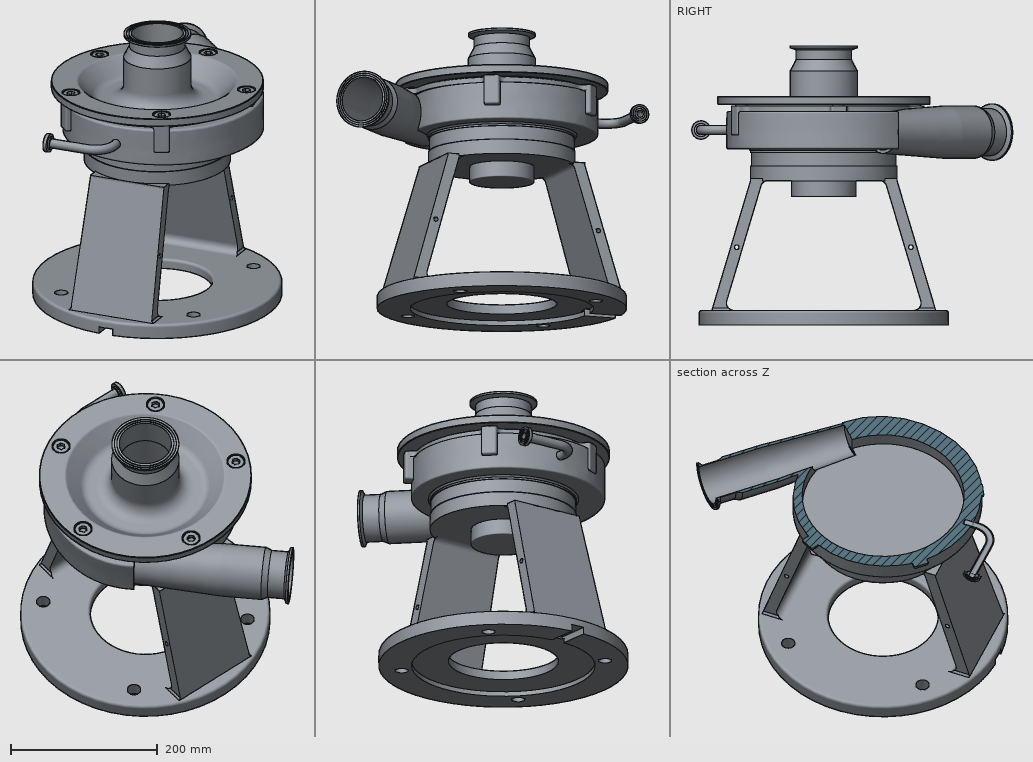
import cadquery as cq
import math

base_radius = 170.0
base_thickness = 20.0
base_edge_fillet = 4.0
base_bore_radius = 75.0
base_hole_circle_radius = 140.0
base_hole_diameter = 18.0
base_hole_count = 4
first_base_hole_angle = 45.0
notch_width = 20.0
notch_height = 9.5
notch_depth = 50.0
base_recess_radius = 125.0
base_recess_depth = 6.5

shaft_housing_bottom = 175.0
adapter_bottom = 196.5
adapter_top = 216.5
hub_top = 235.0
casing_bottom = 240.0
casing_top = 291.0
ring_top = 298.5
lid_bottom = 300.5
lid_top = 311.5
overall_height = 380.5

leg_top_half_width = 55.0
leg_bottom_half_width = 60.3
leg_top_outer_y = 100.0
leg_bottom_outer_y = 152.6
leg_thickness_y = 16.7
leg_top_fillet = 9.0
leg_bottom_fillet = 10.0
leg_foot_height = 3.0
leg_foot_half_width = 63.0
leg_pad_height = 2.8
leg_hole_height = 106.0
leg_hole_diameter = 6.0

shaft_housing_radius = 44.0
shaft_housing_fillet = 1.0
adapter_radius = 100.0
hub_radius = 98.7
hub_collar_radius = 102.5

volute_start_angle = 45.0
volute_knot_step = 45.0
volute_knot_radii = [118.5, 122.0, 125.0, 127.5, 130.0, 132.2, 137.5, 141.5, 144.0]
casing_top_fillet = 3.0
casing_bottom_fillet = 2.0
ring_radius = 122.5
spigot_radius = 118.3
chamber_radius = 110.0
chamber_bottom = 245.0
chamber_top = 281.0

lid_radius = 144.6
lid_edge_chamfer = 0.8
dish_floor = 286.0
dish_rim_radius = 108.5
dish_rim_fillet = 5.0
dish_floor_fillet = 15.0
spout_fillet = 20.0
screw_circle_radius = 126.0
screw_count = 5
hexagon_sides = 6
first_screw_angle = 9.0
counterbore_radius = 12.3
counterbore_depth = 3.0
screw_head_radius = 11.0
screw_head_recess = 1.0
screw_socket_width = 10.0
screw_socket_depth = 5.0
screw_socket_point = 3.0
boss_outer_radius = 137.0
boss_inner_radius = 110.0
boss_width = 21.5
boss_bottom = 258.6
boss_fillet = 3.0
boss_bottom_fillet = 2.5
boss_root_fillet = 9.0
boss_root_tolerance = 0.01
spacer_radius = 8.0

spout_radius = 46.0
spout_cone_bottom = 346.0
spout_cone_top = 361.5
inlet_tube_radius = 38.0
inlet_flange_radius = 45.7
inlet_flange_edge = 2.8
inlet_flange_height = 5.7
inlet_bore_radius = 35.5
inlet_bore_bottom = 343.0
inlet_chamber_radius = 43.0
groove_depth = 1.2
groove_width_ratio = 1 / 3

outlet_angle = 135.0
outlet_offset = 113.8
outlet_height = 262.8
outlet_reach = 212.0
outlet_flange_radius = 38.5
outlet_flange_edge = 2.8
outlet_flange_height = 5.9
outlet_tube_radius = 32.3
outlet_tube_end = 183.5
outlet_pipe_radius = 35.8
outlet_pipe_start = 175.0
outlet_pipe_end = 118.5
outlet_throat_radius = 29.0
outlet_bore_radius = 30.2
outlet_bore_throat_radius = 24.5

flush_height = 265.7
flush_center_y = -167.3
flush_face_x = -89.8
flush_flange_radius = 12.7
flush_flange_edge = 5.0
flush_neck_length = 7.4
flush_neck_radius = 9.0
flush_tube_radius = 6.35
flush_bend_x = -29.0
flush_bend_radius = 27.3
flush_bore_radius = 4.7
flush_end_y = -120.0

FULL_TURN = 360.0


def cylinder(radius, bottom, top):
    return cq.Workplane("XY").workplane(offset=bottom).circle(radius).extrude(top - bottom)


def revolved(points):
    """Solid of revolution about Z from a closed outline of (radius, height) points."""
    return cq.Workplane("XZ").polyline(points).close().revolve(FULL_TURN, (0, 0, 0), (0, 1, 0))


def polar(radius, angle):
    return (radius * math.cos(math.radians(angle)), radius * math.sin(math.radians(angle)))


def make_base():
    """Base plate with a central bore, mounting holes, an underside recess and a drain notch."""
    plate = cylinder(base_radius, 0, base_thickness)
    plate = plate.cut(cylinder(base_bore_radius, 0, base_thickness))
    plate = plate.faces(">Z").edges().fillet(base_edge_fillet)
    for i in range(base_hole_count):
        angle = first_base_hole_angle + i * FULL_TURN / base_hole_count
        hole = cylinder(base_hole_diameter / 2, 0, base_thickness)
        plate = plate.cut(hole.translate((*polar(base_hole_circle_radius, angle), 0)))
    notch = (
        cq.Workplane("XY")
        .box(notch_width, 2 * notch_depth, notch_height, centered=(True, True, False))
        .translate((0, -base_radius, 0))
    )
    recess = cylinder(base_recess_radius, 0, base_recess_depth)
    return plate.cut(recess).cut(notch)


def make_leg():
    """Leg on the +Y side: a leaning plate that narrows upwards, on a flared foot."""
    rise = adapter_bottom - base_thickness
    lean = (leg_bottom_outer_y - leg_top_outer_y) / rise
    lean_angle = math.atan(lean)
    fillet_span = math.tan(math.pi / 4 + lean_angle / 2)
    inner_bottom = leg_bottom_outer_y - leg_thickness_y
    inner_top = leg_top_outer_y - leg_thickness_y
    pad_top = adapter_bottom + leg_pad_height

    def inner_face(distance_down):
        """Point on the inner face, measured along it from its top corner."""
        return (
            inner_top + distance_down * math.sin(lean_angle),
            adapter_bottom - distance_down * math.cos(lean_angle),
        )

    top_tangent = leg_top_fillet / fillet_span
    bottom_tangent = leg_bottom_fillet * fillet_span
    face_length = rise / math.cos(lean_angle)
    top_corner_center = (inner_top - top_tangent, adapter_bottom - leg_top_fillet)
    bottom_corner_center = (inner_bottom - bottom_tangent, base_thickness + leg_bottom_fillet)

    def toward(center, corner, radius):
        """Middle of a fillet arc: from its center toward the sharp corner."""
        dy = corner[0] - center[0]
        dz = corner[1] - center[1]
        length = math.hypot(dy, dz)
        return (center[0] + radius * dy / length, center[1] + radius * dz / length)

    profile = (
        cq.Workplane("YZ")
        .moveTo(leg_bottom_outer_y, base_thickness)
        .lineTo(leg_top_outer_y, adapter_bottom)
        .lineTo(leg_top_outer_y, pad_top)
        .lineTo(inner_top - top_tangent, pad_top)
        .lineTo(inner_top - top_tangent, adapter_bottom)
        .threePointArc(
            toward(top_corner_center, (inner_top, adapter_bottom), leg_top_fillet),
            inner_face(top_tangent),
        )
        .lineTo(*inner_face(face_length - bottom_tangent))
        .threePointArc(
            toward(bottom_corner_center, (inner_bottom, base_thickness), leg_bottom_fillet),
            (inner_bottom - bottom_tangent, base_thickness),
        )
        .close()
        .extrude(leg_foot_half_width, both=True)
    )
    front_outline = (
        cq.Workplane("XZ")
        .polyline([
            (-leg_foot_half_width, base_thickness),
            (-leg_bottom_half_width, base_thickness + leg_foot_height),
            (-leg_top_half_width, adapter_bottom),
            (-leg_top_half_width, pad_top),
            (leg_top_half_width, pad_top),
            (leg_top_half_width, adapter_bottom),
            (leg_bottom_half_width, base_thickness + leg_foot_height),
            (leg_foot_half_width, base_thickness),
        ])
        .close()
        .extrude(-base_radius)
    )
    hole_y = leg_top_outer_y + lean * (adapter_bottom - leg_hole_height) - leg_thickness_y / 2
    hole = (
        cq.Workplane("YZ")
        .center(hole_y, leg_hole_height)
        .circle(leg_hole_diameter / 2)
        .extrude(leg_foot_half_width, both=True)
    )
    return profile.intersect(front_outline).cut(hole)


def make_hub():
    """Shaft housing, adapter ring and hub below the casing, as one turned body."""
    body = revolved([
        (0, adapter_bottom),
        (adapter_radius, adapter_bottom),
        (adapter_radius, adapter_top),
        (hub_radius, adapter_top),
        (hub_radius, hub_top),
        (adapter_radius, hub_top),
        (adapter_radius, hub_top + (casing_bottom - hub_top) / 2),
        (hub_collar_radius, casing_bottom),
        (0, casing_bottom),
    ])
    housing = cylinder(shaft_housing_radius, shaft_housing_bottom, adapter_bottom)
    return body.union(housing.faces("<Z").edges().fillet(shaft_housing_fillet))


def make_volute():
    """Casing body whose radius grows around the axis, closed by a step inside the outlet."""
    knots = [
        polar(radius, volute_start_angle + i * volute_knot_step)
        for i, radius in enumerate(volute_knot_radii)
    ]
    return (
        cq.Workplane("XY")
        .workplane(offset=casing_bottom)
        .spline(knots)
        .close()
        .extrude(casing_top - casing_bottom)
        .faces(">Z").edges("%BSPLINE").fillet(casing_top_fillet)
        .faces("<Z").edges("%BSPLINE").fillet(casing_bottom_fillet)
    )


def make_boss():
    """Screw boss on the +X side, standing against the casing."""
    return (
        cq.Workplane("XY")
        .box(
            boss_outer_radius - boss_inner_radius,
            boss_width,
            ring_top - boss_bottom,
            centered=(False, True, False),
        )
        .edges(">X and |Z").fillet(boss_fillet)
        .faces("<Z").edges().fillet(boss_bottom_fillet)
        .translate((boss_inner_radius, 0, boss_bottom))
    )


def make_spacer():
    """Short round spacer between a boss and the lid, on the +X side."""
    return cylinder(spacer_radius, ring_top, lid_bottom).translate((screw_circle_radius, 0, 0))


def around_screws(shape):
    """Copies of a body on the +X side, one at every screw."""
    step = FULL_TURN / screw_count
    return [shape.rotate((0, 0, 0), (0, 0, 1), first_screw_angle + i * step) for i in range(screw_count)]


def make_crown():
    """Raised ring on the casing, with the tops of the bosses blended into it."""
    crown = cylinder(ring_radius, casing_top, ring_top).rotate((0, 0, 0), (0, 0, 1), first_screw_angle)
    above_casing = cylinder(lid_radius, casing_top, ring_top)
    for boss in around_screws(make_boss().intersect(above_casing)):
        crown = crown.union(boss)

    def is_boss_root(edge):
        center = edge.Center()
        return abs(math.hypot(center.x, center.y) - ring_radius) < boss_root_tolerance

    return crown.newObject(crown.edges("|Z").filter(is_boss_root).vals()).fillet(boss_root_fillet)


def make_lid():
    """Lid plate with the spigot that sits in the casing."""
    lid = cylinder(lid_radius, lid_bottom, lid_top).edges("%CIRCLE").chamfer(lid_edge_chamfer)
    filler = cylinder(spigot_radius, casing_top, lid_bottom)
    return lid.union(filler)


def make_dish():
    """Ring-shaped hollow around the spout: rounded rim, 45 degree wall and rounded floor."""
    slope = math.pi / 4
    corner_radius = dish_rim_radius - (lid_top - dish_floor)
    floor_tangent = dish_floor_fillet * math.tan(slope / 2)
    rim_tangent = dish_rim_fillet * math.tan(slope / 2)
    half = slope / 2
    wall_low = (
        corner_radius + floor_tangent * math.cos(slope),
        dish_floor + floor_tangent * math.sin(slope),
    )
    floor_mid = (
        corner_radius - floor_tangent + dish_floor_fillet * math.sin(half),
        dish_floor + dish_floor_fillet * (1 - math.cos(half)),
    )
    wall_high = (
        dish_rim_radius - rim_tangent * math.cos(slope),
        lid_top - rim_tangent * math.sin(slope),
    )
    rim_mid = (
        dish_rim_radius + rim_tangent - dish_rim_fillet * math.sin(half),
        lid_top - dish_rim_fillet * (1 - math.cos(half)),
    )
    spout_arc_mid = (
        spout_radius + spout_fillet * (1 - math.cos(slope)),
        dish_floor + spout_fillet * (1 - math.sin(slope)),
    )
    return (
        cq.Workplane("XZ")
        .moveTo(spout_radius, lid_top)
        .lineTo(spout_radius, dish_floor + spout_fillet)
        .threePointArc(spout_arc_mid, (spout_radius + spout_fillet, dish_floor))
        .lineTo(corner_radius - floor_tangent, dish_floor)
        .threePointArc(floor_mid, wall_low)
        .lineTo(*wall_high)
        .threePointArc(rim_mid, (dish_rim_radius + rim_tangent, lid_top))
        .close()
        .revolve(FULL_TURN, (0, 0, 0), (0, 1, 0))
    )


def make_screw_recess():
    """Ring-shaped gap around a screw head on the +X side, and the head's hexagon socket."""
    head_top = lid_top - screw_head_recess
    recess = cylinder(counterbore_radius, lid_top - counterbore_depth, lid_top)
    recess = recess.cut(cylinder(screw_head_radius, lid_top - counterbore_depth, head_top))
    socket = (
        cq.Workplane("XY")
        .workplane(offset=head_top - screw_socket_depth)
        .polygon(hexagon_sides, screw_socket_width / math.cos(math.pi / hexagon_sides))
        .extrude(screw_socket_depth)
    )
    socket_floor = head_top - screw_socket_depth
    point = revolved([
        (0, socket_floor - screw_socket_point),
        (screw_socket_width / 2, socket_floor),
        (0, socket_floor),
    ])
    return recess.union(socket).union(point).translate((screw_circle_radius, 0, 0))


def face_groove(flange_radius, bore_radius, face):
    """Gasket groove in the end face of a clamp flange."""
    middle = (flange_radius + bore_radius) / 2
    half_width = (flange_radius - bore_radius) * groove_width_ratio / 2
    ring = cylinder(middle + half_width, face - groove_depth, face)
    return ring.cut(cylinder(middle - half_width, face - groove_depth, face))


def make_spout():
    """Inlet spout that narrows to a tube with a clamp flange."""
    flange_bottom = overall_height - inlet_flange_height
    spout = revolved([
        (0, lid_bottom),
        (spout_radius, lid_bottom),
        (spout_radius, spout_cone_bottom),
        (inlet_tube_radius, spout_cone_top),
        (inlet_tube_radius, flange_bottom),
        (inlet_flange_radius, overall_height - inlet_flange_edge),
        (inlet_flange_radius, overall_height),
        (0, overall_height),
    ])
    return spout.cut(face_groove(inlet_flange_radius, inlet_bore_radius, overall_height))


def make_inlet_passage():
    """Inlet bore that widens below its throat and opens into the round chamber."""
    widening = inlet_chamber_radius - inlet_bore_radius
    return revolved([
        (0, chamber_bottom),
        (chamber_radius, chamber_bottom),
        (chamber_radius, chamber_top),
        (inlet_chamber_radius, chamber_top),
        (inlet_chamber_radius, inlet_bore_bottom - widening),
        (inlet_bore_radius, inlet_bore_bottom),
        (inlet_bore_radius, overall_height),
        (0, overall_height),
    ])


def place_outlet(shape):
    """Lay a body turned about +Z along the outlet axis, from its point nearest the pump axis."""
    foot = polar(outlet_offset, outlet_angle - 90)
    return (
        shape.rotate((0, 0, 0), (0, 1, 0), 90)
        .rotate((0, 0, 0), (0, 0, 1), outlet_angle)
        .translate((*foot, outlet_height))
    )


def make_outlet():
    """Outlet pipe: a widening throat, a straight pipe and a tube with a clamp flange."""
    pipe = revolved([
        (0, 0),
        (outlet_throat_radius, 0),
        (outlet_pipe_radius, outlet_pipe_end),
        (outlet_pipe_radius, outlet_pipe_start),
        (outlet_tube_radius, outlet_tube_end),
        (outlet_tube_radius, outlet_reach - outlet_flange_height),
        (outlet_flange_radius, outlet_reach - outlet_flange_edge),
        (outlet_flange_radius, outlet_reach),
        (0, outlet_reach),
    ])
    pipe = pipe.cut(face_groove(outlet_flange_radius, outlet_bore_radius, outlet_reach))
    return place_outlet(pipe)


def make_outlet_passage():
    bore = revolved([
        (0, 0),
        (outlet_bore_throat_radius, 0),
        (outlet_bore_radius, outlet_pipe_end),
        (outlet_bore_radius, outlet_reach),
        (0, outlet_reach),
    ])
    return place_outlet(bore)


def flush_path():
    bend_end_x = flush_bend_x + flush_bend_radius
    bend_end_y = flush_center_y + flush_bend_radius
    bend_mid = (
        flush_bend_x + flush_bend_radius * math.sin(math.pi / 4),
        bend_end_y - flush_bend_radius * math.cos(math.pi / 4),
    )
    return (
        cq.Workplane("XY")
        .workplane(offset=flush_height)
        .moveTo(flush_face_x, flush_center_y)
        .lineTo(flush_bend_x, flush_center_y)
        .threePointArc(bend_mid, (bend_end_x, bend_end_y))
        .lineTo(bend_end_x, flush_end_y)
    )


def flush_sweep(radius):
    start = cq.Workplane("YZ", origin=(flush_face_x, flush_center_y, flush_height))
    return start.circle(radius).sweep(flush_path())


def make_flush_line():
    """Small bent tube with a clamp flange, entering the casing from the -Y side."""
    face = cq.Workplane("YZ", origin=(flush_face_x, flush_center_y, flush_height))
    flange = face.circle(flush_flange_radius).extrude(flush_flange_edge)
    neck = face.circle(flush_neck_radius).extrude(flush_neck_length)
    groove = (
        face_groove(flush_flange_radius, flush_bore_radius, 0)
        .rotate((0, 0, 0), (0, 1, 0), -90)
        .translate((flush_face_x, flush_center_y, flush_height))
    )
    return flush_sweep(flush_tube_radius).union(flange).union(neck).cut(groove)


leg = make_leg()
body = make_base().union(leg).union(leg.mirror("XZ"))
body = body.union(make_hub()).union(make_volute()).union(make_crown()).union(make_lid())
for boss in around_screws(make_boss().union(make_spacer())):
    body = body.union(boss)
body = body.union(make_outlet()).union(make_flush_line())
body = body.cut(make_dish()).union(make_spout())
for recess in around_screws(make_screw_recess()):
    body = body.cut(recess)
result = body.cut(make_inlet_passage()).cut(make_outlet_passage()).cut(flush_sweep(flush_bore_radius))